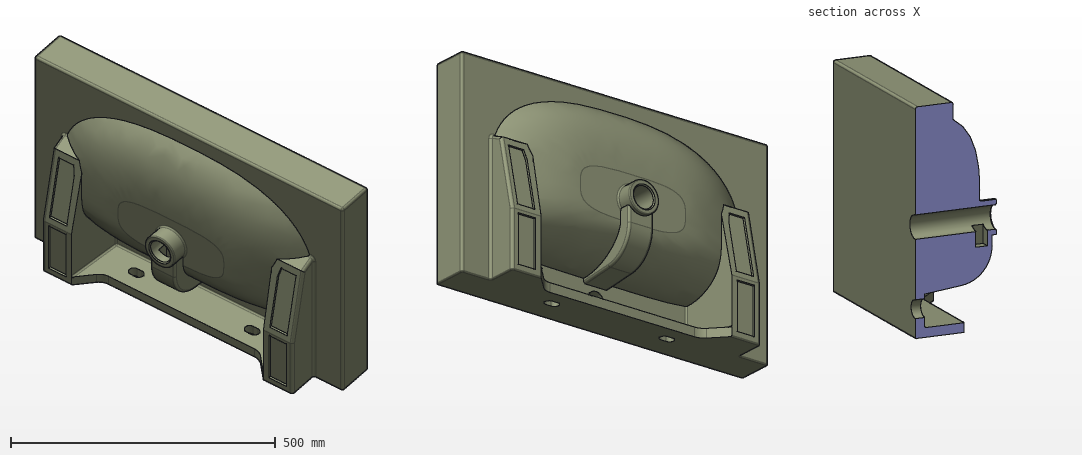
import cadquery as cq
import math


SLAB_WIDTH = 730.0
SLAB_HEIGHT = 455.0
SLAB_DEPTH = 80.0
SLAB_ROUND = 5.0
SLAB_CORNER_ROUND = 2.5

BRACKET_DEPTH = 146.0
BRACKET_OUTER_X = 296.0
BRACKET_INNER_X = 227.0
BRACKET_TOP_Z = 299.0
SHOULDER_DEPTH = 112.0
SHOULDER_Z = 285.0
KNEE_Z = 127.0
BRACKET_ROUND = 6.0
FOOT_ROUND = 5.0

PANEL_SINK = 5.0
PANEL_OUTER_X = 281.0
PANEL_INNER_X = 240.0
LOWER_PANEL_Z = (14.0, 120.0)
UPPER_PANEL_Z = (139.0, 270.0)
PANEL_CORNER_CUT_X = 5.0
PANEL_CORNER_CUT_Z = 21.0

DECK_THICKNESS = 20.0
RECESS_FLOOR_X = 216.0
SHELF_THICKNESS = 20.0
SHELF_ROUND = 3.5
SHELF_DEPTH = 102.0
SHELF_CORNER_X = 185.0
SHELF_CORNER_RADIUS = 30.0
TAP_HOLE_DIAMETER = 36.0
TAP_HOLE_Z = 58.0
FIXING_SLOT_X = 137.0
FIXING_SLOT_DEPTH = 62.0
FIXING_SLOT_LENGTH = 32.0
FIXING_SLOT_WIDTH = 20.0

BOWL_CENTRE_Z = 226.0
BOWL_DEPTH = 135.0
MOUTH_HALF_WIDTH = 336.0
MOUTH_RISE = 208.0
MOUTH_DROP = 130.0
MOUTH_UPPER_POWER = 2.45
MOUTH_LOWER_POWER = 4.0
FLAT_HALF_WIDTH = 125.0
FLAT_HALF_HEIGHT = 50.0
FLAT_POWER = 3.5
BOWL_WIDTH_POWER = 1.8
BOWL_HEIGHT_POWER = 2.5
BOWL_STEPS = 7
POINTS_PER_QUARTER = 8

PART_DEPTH = 170.0
DRAIN_Z = 219.0
PIPE_RADIUS = 35.0
PIPE_ROUND = 2.0
PIPE_FOOT_ROUND = 3.0
BORE_RADIUS = 23.5
BORE_CHAMFER = 2.5
DUCT_HALF_WIDTH = 29.0
DUCT_ROUND = 5.0
DUCT_DEPTH = 161.0
DUCT_CORNER_Z = 99.0
DUCT_BEND_RADIUS = 71.0
DUCT_FOOT_Z = 85.0
OVERFLOW_HALF_WIDTH = 17.0
OVERFLOW_FRONT_Y = -150.0
OVERFLOW_BACK_Y = -127.0
OVERFLOW_END_Z = 165.0


def box(x_min, x_max, y_min, y_max, z_min, z_max):
    size = (x_max - x_min, y_max - y_min, z_max - z_min)
    return cq.Workplane().box(*size, centered=False).translate((x_min, y_min, z_min))


def across_y(y_near):
    """Workplane on the XZ plane at the given y; positive extrusion runs toward -Y."""
    return cq.Workplane("XZ", origin=(0, y_near, 0))


def make_slab():
    half = SLAB_WIDTH / 2
    slab = box(-half, half, -SLAB_DEPTH, 0, 0, SLAB_HEIGHT)
    return slab.edges("not <Z").fillet(SLAB_ROUND)


def round_slab_corners(body):
    """Round the two bottom corners of the slab along Y."""
    return body.faces("<X or >X").edges("<Z").fillet(SLAB_CORNER_ROUND)


def bracket_profile():
    """Side outline (y, z) of a bracket, starting on the deck plane."""
    return [
        (-DECK_THICKNESS, 0),
        (-BRACKET_DEPTH, 0),
        (-BRACKET_DEPTH, KNEE_Z),
        (-SHOULDER_DEPTH, SHOULDER_Z),
        (-SLAB_DEPTH, BRACKET_TOP_Z),
        (-DECK_THICKNESS, BRACKET_TOP_Z),
    ]


def make_bracket_block():
    """One block as wide as both brackets; the recess later parts it."""
    block = cq.Workplane("YZ").polyline(bracket_profile()).close()
    block = block.extrude(BRACKET_OUTER_X, both=True)
    exposed_region = cq.selectors.BoxSelector(
        (-BRACKET_OUTER_X - 1, -BRACKET_DEPTH - 1, 1),
        (BRACKET_OUTER_X + 1, -SLAB_DEPTH - 1, BRACKET_TOP_Z + 1),
    )
    return block.edges(exposed_region).edges("not |X").fillet(BRACKET_ROUND)


def round_bracket_foot(body):
    """Fillet where the bracket block meets the underside of the slab."""
    foot_region = cq.selectors.BoxSelector(
        (-BRACKET_OUTER_X - 1, -SLAB_DEPTH - 1, 1),
        (BRACKET_OUTER_X + 1, -SLAB_DEPTH + 1, BRACKET_TOP_Z + 1),
    )
    return body.edges(foot_region).fillet(FOOT_ROUND)


def make_recess():
    """Space between the brackets: a drafted pocket above the shelf, open below the shelf edge."""
    plan = [
        (-RECESS_FLOOR_X, -DECK_THICKNESS),
        (RECESS_FLOOR_X, -DECK_THICKNESS),
        (BRACKET_INNER_X, -BRACKET_DEPTH),
        (-BRACKET_INNER_X, -BRACKET_DEPTH),
    ]
    pocket = cq.Workplane("XY", origin=(0, 0, SHELF_THICKNESS)).polyline(plan).close()
    pocket = pocket.extrude(BRACKET_TOP_Z - SHELF_THICKNESS)
    pocket = pocket.faces("<Z or >Y").edges("not <Y").fillet(SHELF_ROUND)
    return pocket.union(make_shelf_front_cut())


def make_shelf_front_cut():
    plan = [
        (-BRACKET_INNER_X, -BRACKET_DEPTH),
        (-SHELF_CORNER_X, -SHELF_DEPTH),
        (SHELF_CORNER_X, -SHELF_DEPTH),
        (BRACKET_INNER_X, -BRACKET_DEPTH),
    ]
    cut = cq.Workplane("XY").polyline(plan).close().extrude(SHELF_THICKNESS)
    return cut.edges("|Z and >Y").fillet(SHELF_CORNER_RADIUS)


def make_panel(z_min, z_max, corner_cut_x, corner_cut_z):
    """Cutter for one panel; its floor follows the bracket face at a constant sink."""
    outline = [
        (PANEL_INNER_X, z_min),
        (PANEL_OUTER_X, z_min),
        (PANEL_OUTER_X, z_max),
        (PANEL_INNER_X + corner_cut_x, z_max),
    ]
    if corner_cut_z > 0:
        outline.append((PANEL_INNER_X, z_max - corner_cut_z))
    prism = across_y(-SLAB_DEPTH).polyline(outline).close().extrude(PART_DEPTH - SLAB_DEPTH)
    core = cq.Workplane("YZ").polyline(bracket_profile()).close().extrude(SLAB_WIDTH)
    return prism.cut(core.translate((0, PANEL_SINK, 0)))


def power_blend(fraction, power):
    """Other coordinate of a unit superellipse at the given fraction."""
    return max(0.0, 1 - fraction**power) ** (1 / power)


def between(start, end, share):
    return start + (end - start) * share


def bowl_section(half_width, rise, drop, upper_power, lower_power):
    """Closed outline around the bowl centre from two superellipse halves."""
    points = []
    for step in range(4 * POINTS_PER_QUARTER):
        angle = math.pi / 2 * (step / POINTS_PER_QUARTER - 1)
        c = math.cos(angle)
        s = math.sin(angle)
        power = upper_power if s >= 0 else lower_power
        height = rise if s >= 0 else drop
        x = math.copysign(half_width * abs(c) ** (2 / power), c)
        z = math.copysign(height * abs(s) ** (2 / power), s)
        points.append(cq.Vector(x, 0, BOWL_CENTRE_Z + z))
    return points


def make_bowl():
    wires = []
    for step in range(BOWL_STEPS + 1):
        sink = math.sin(math.pi / 2 * step / BOWL_STEPS)
        width_share = power_blend(sink, BOWL_WIDTH_POWER)
        height_share = power_blend(sink, BOWL_HEIGHT_POWER)
        points = bowl_section(
            between(FLAT_HALF_WIDTH, MOUTH_HALF_WIDTH, width_share),
            between(FLAT_HALF_HEIGHT, MOUTH_RISE, height_share),
            between(FLAT_HALF_HEIGHT, MOUTH_DROP, width_share),
            between(FLAT_POWER, MOUTH_UPPER_POWER, height_share),
            between(FLAT_POWER, MOUTH_LOWER_POWER, height_share),
        )
        y = -DECK_THICKNESS - sink * (BOWL_DEPTH - DECK_THICKNESS)
        outline = cq.Edge.makeSpline(points, periodic=True)
        wires.append(cq.Wire.assembleEdges([outline]).translate(cq.Vector(0, y, 0)))
    return cq.Workplane(cq.Solid.makeLoft(wires))


def make_drain_pipe():
    pipe = across_y(-DECK_THICKNESS).center(0, DRAIN_Z).circle(PIPE_RADIUS)
    pipe = pipe.extrude(PART_DEPTH - DECK_THICKNESS)
    return pipe.faces("<Y").edges().fillet(PIPE_ROUND)


def make_bowl_with_drain():
    bowl = make_bowl().union(make_drain_pipe())
    foot_region = cq.selectors.BoxSelector(
        (-PIPE_RADIUS - 1, -BOWL_DEPTH - 1, DRAIN_Z - PIPE_RADIUS - 1),
        (PIPE_RADIUS + 1, -BOWL_DEPTH + 1, DRAIN_Z + PIPE_RADIUS + 1),
    )
    return bowl.edges(foot_region).edges("%CIRCLE").fillet(PIPE_FOOT_ROUND)


def make_duct():
    profile = [
        (-DECK_THICKNESS, DRAIN_Z),
        (-DUCT_DEPTH, DRAIN_Z),
        (-DUCT_DEPTH, DUCT_CORNER_Z),
        (-DECK_THICKNESS, DUCT_FOOT_Z),
    ]
    duct = cq.Workplane("YZ").polyline(profile).close().extrude(DUCT_HALF_WIDTH, both=True)
    duct = duct.faces("<Y").edges("<Z").fillet(DUCT_BEND_RADIUS)
    return duct.faces("<Y").edges("|Z").fillet(DUCT_ROUND)


def make_bore():
    bore = across_y(0).center(0, DRAIN_Z).circle(BORE_RADIUS).extrude(PART_DEPTH)
    mouth = cq.Solid.makeCone(
        BORE_RADIUS + BORE_CHAMFER,
        BORE_RADIUS,
        BORE_CHAMFER,
        cq.Vector(0, -PART_DEPTH, DRAIN_Z),
        cq.Vector(0, 1, 0),
    )
    return bore.union(cq.Workplane(mouth))


def make_overflow():
    """Blind slot from the bore down into the duct."""
    half = OVERFLOW_HALF_WIDTH
    return box(-half, half, OVERFLOW_FRONT_Y, OVERFLOW_BACK_Y, OVERFLOW_END_Z, DRAIN_Z)


def make_tap_hole():
    return across_y(0).center(0, TAP_HOLE_Z).circle(TAP_HOLE_DIAMETER / 2).extrude(SLAB_DEPTH)


def make_fixing_slots():
    centres = [(x, -FIXING_SLOT_DEPTH) for x in (-FIXING_SLOT_X, FIXING_SLOT_X)]
    slots = cq.Workplane("XY").pushPoints(centres).slot2D(FIXING_SLOT_LENGTH, FIXING_SLOT_WIDTH)
    return slots.extrude(SHELF_THICKNESS)


body = round_bracket_foot(make_slab().union(make_bracket_block()))
body = round_slab_corners(body)
body = body.cut(make_recess())
for panel in (
    make_panel(*LOWER_PANEL_Z, 0, 0),
    make_panel(*UPPER_PANEL_Z, PANEL_CORNER_CUT_X, PANEL_CORNER_CUT_Z),
):
    body = body.cut(panel).cut(panel.mirror("YZ"))
body = body.union(make_bowl_with_drain().union(make_duct()))
body = body.cut(make_bore().union(make_overflow())).cut(make_tap_hole()).cut(make_fixing_slots())
result = body